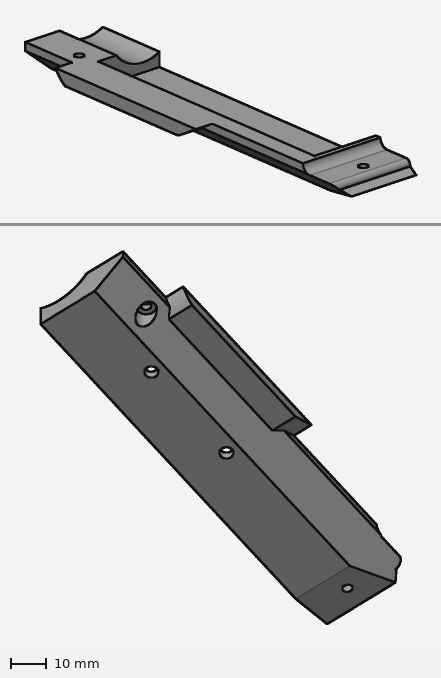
import cadquery as cq
length = 133.9
width = 35.1
height = 10.8

body_width = 28.9
underside_width = 19.0
front_face_base = 8.2

step_start = 118.6
shelf_height = 8.0
cove_radius = height - shelf_height
nose_radius = 1.7
nose_end = 131.3
tip_height = 4.1
tip_slope_top = 6.0
ramp_start = 119.1

tab_left = 20.0
tab_right = 79.9
tab_base = 6.5
tab_base_left = 24.1
tab_base_right = 72.4
tab_end_radius = 12.0
tab_root = 25.5

trough_radius = 12.7
trough_center = 6.2
trough_depth = 4.8

pocket_left = 24.2
pocket_right = 116.6
pocket_width = 22.9
pocket_floor = 3.0
pocket_floor_width = 19.0
ledge_start = 20.9
ledge_height = 4.8

small_hole_diameter = 3.0
small_holes = [(17.4, 24.0), (126.1, 13.0)]
pocket_hole_diameter = 3.9
pocket_holes = [(32.0, 14.9), (67.0, 14.9)]
counterbore_diameter = 6.0
counterbore_top = front_face_base


def extrude_along_x(section, start, end):
    """Extrude a (distance from back, height) outline between two X positions."""
    points = [(-distance, z) for distance, z in section]
    return cq.Workplane("YZ").workplane(offset=start).polyline(points).close().extrude(end - start)


def bar():
    section = [
        (0, 0),
        (underside_width, 0),
        (body_width, front_face_base),
        (body_width, height),
        (0, height),
    ]
    return extrude_along_x(section, 0, length)


def side_profile():
    """Side outline with the stepped, pointed right end, as wide as the bar."""
    shelf_end = nose_end - nose_radius
    return (
        cq.Workplane("XZ")
        .moveTo(0, 0)
        .lineTo(ramp_start, 0)
        .lineTo(length, tip_height)
        .lineTo(nose_end, tip_slope_top)
        .lineTo(nose_end, shelf_height - nose_radius)
        .radiusArc((shelf_end, shelf_height), -nose_radius)
        .lineTo(step_start + cove_radius, shelf_height)
        .radiusArc((step_start, height), cove_radius)
        .lineTo(0, height)
        .close()
        .extrude(body_width)
    )


def tab():
    return (
        cq.Workplane("XZ")
        .workplane(offset=tab_root)
        .moveTo(tab_left, height)
        .lineTo(tab_right, height)
        .lineTo(tab_base_right, tab_base)
        .lineTo(tab_base_left, tab_base)
        .radiusArc((tab_left, height), tab_end_radius)
        .close()
        .extrude(width - tab_root)
    )


def trough():
    axis_height = height - trough_depth + trough_radius
    return (
        cq.Workplane("YZ")
        .center(-trough_center, axis_height)
        .circle(trough_radius)
        .extrude(pocket_left)
    )


def pocket():
    section = [
        (0, pocket_floor),
        (pocket_floor_width, pocket_floor),
        (ledge_start, ledge_height),
        (pocket_width, ledge_height),
        (pocket_width, height),
        (0, height),
    ]
    return extrude_along_x(section, pocket_left, pocket_right)


def vertical_holes(positions, diameter, top):
    points = [(x, -distance) for x, distance in positions]
    return cq.Workplane("XY").pushPoints(points).circle(diameter / 2).extrude(top)


result = (
    bar()
    .intersect(side_profile())
    .union(tab())
    .cut(trough())
    .cut(pocket())
    .cut(vertical_holes(small_holes, small_hole_diameter, height))
    .cut(vertical_holes(pocket_holes, pocket_hole_diameter, height))
    .cut(vertical_holes(small_holes[:1], counterbore_diameter, counterbore_top))
)